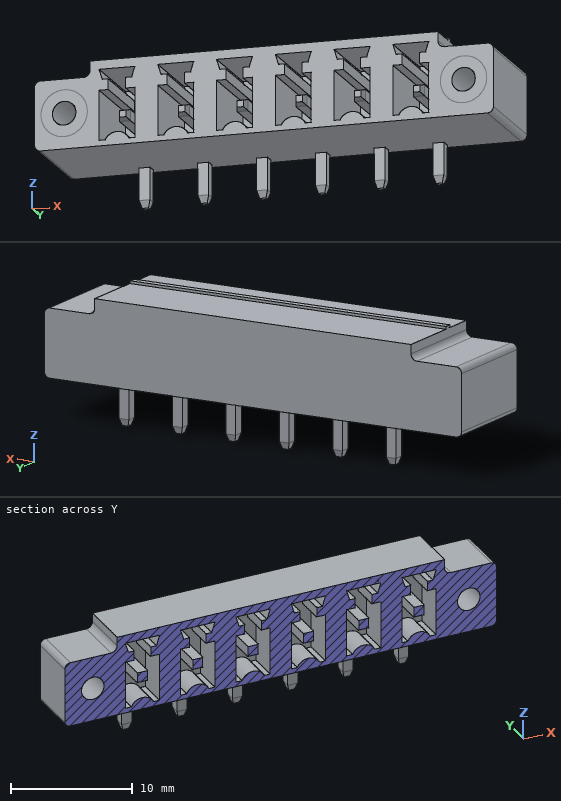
import cadquery as cq


length = 39.6
depth = 9.2
rear_wall = 1.98
flange_height = 5.98
shell_height = 7.33
flange_length = 4.8
corner_radius = 0.5
step_radius = 0.55
shell_length = length - 2 * flange_length

rib_height = 0.25
rib_width = 0.65
rib_front = 2.8

axis_height = 3.05
bushing_diameter = 4.0
screw_diameter = 2.0
screw_inset = 2.57
bushing_depth = depth - rear_wall

pin_count = 6
pitch = 5.05
cavity_depth = depth - rear_wall
cavity_width = 3.1
cavity_floor = 0.48
cavity_shoulder = 4.75
neck_width = 1.5
neck_top = 5.65
head_width = 2.55
head_top = 6.55
ridge_width = 2.05
ridge_height = 0.65

pin_size = 0.95
pin_tip_size = 0.55
pin_tip_length = 0.65
pin_recess = 1.6
leg_inset = 1.23
leg_length = 3.4

pin_positions = [(i - (pin_count - 1) / 2) * pitch for i in range(pin_count)]
screw_positions = [side * (length / 2 - screw_inset) for side in (-1, 1)]


def front_plane(x=0, z=0):
    """Plane of the mating face, with local x along X and local y along Z."""
    return cq.Workplane("XZ", origin=(x, 0, z))


def make_housing():
    flanges = (
        front_plane(z=flange_height / 2)
        .rect(length, flange_height)
        .extrude(-depth)
        .edges("|Y")
        .fillet(corner_radius)
    )
    shell = front_plane(z=shell_height / 2).rect(shell_length, shell_height).extrude(-depth)
    half_shell = shell_length / 2
    step_edges = cq.selectors.BoxSelector(
        (-half_shell - step_radius, -step_radius, flange_height - step_radius),
        (half_shell + step_radius, depth + step_radius, flange_height + step_radius),
    )
    housing = flanges.union(shell).edges("|Y").edges(step_edges).fillet(step_radius)
    rib = cq.Workplane("XY").box(
        shell_length, rib_width, shell_height + rib_height, centered=(True, False, False)
    )
    return housing.union(rib.translate((0, rib_front, 0)))


def make_cavity(x):
    """Keyhole-shaped pocket with a rounded ridge along its floor."""
    ridge_half = ridge_width / 2
    half_outline = [
        (cavity_width / 2, cavity_floor),
        (cavity_width / 2, cavity_shoulder),
        (neck_width / 2, cavity_shoulder),
        (neck_width / 2, neck_top),
        (head_width / 2, neck_top),
        (cavity_width / 2, head_top),
    ]
    mirrored_outline = [(-px, pz) for px, pz in reversed(half_outline)]
    return (
        front_plane(x)
        .moveTo(-ridge_half, cavity_floor)
        .threePointArc((0, cavity_floor + ridge_height), (ridge_half, cavity_floor))
        .polyline(half_outline + mirrored_outline, includeCurrent=True)
        .close()
        .extrude(-cavity_depth)
    )


def make_tapered_bar(straight_length):
    """Square bar from the origin along +Z, ending in a tapered tip."""
    tip = (
        cq.Workplane("XY", origin=(0, 0, straight_length))
        .rect(pin_size, pin_size)
        .workplane(offset=pin_tip_length)
        .rect(pin_tip_size, pin_tip_size)
        .loft(ruled=True)
    )
    bar = cq.Workplane("XY").rect(pin_size, pin_size).extrude(straight_length)
    return bar.union(tip)


def make_pin(x):
    """Contact pointing to the mating face and leg pointing down, meeting in the rear wall."""
    leg_y = depth - leg_inset
    contact = make_tapered_bar(leg_y - pin_recess - pin_tip_length)
    contact = contact.rotate((0, 0, 0), (1, 0, 0), 90)
    leg = make_tapered_bar(axis_height + leg_length - pin_tip_length)
    leg = leg.rotate((0, 0, 0), (1, 0, 0), 180)
    return contact.union(leg).translate((x, leg_y, axis_height))


def make_cylinders(diameter):
    """One cylinder on each screw axis, reaching from the mating face to the bushing depth."""
    return (
        front_plane(z=axis_height)
        .pushPoints([(x, 0) for x in screw_positions])
        .circle(diameter / 2)
        .extrude(-bushing_depth)
    )


result = make_housing()
for x in pin_positions:
    result = result.cut(make_cavity(x)).union(make_pin(x))

bushing_seats = make_cylinders(bushing_diameter)
bushings = bushing_seats.cut(make_cylinders(screw_diameter))
result = result.cut(bushing_seats).union(bushings, clean=False)